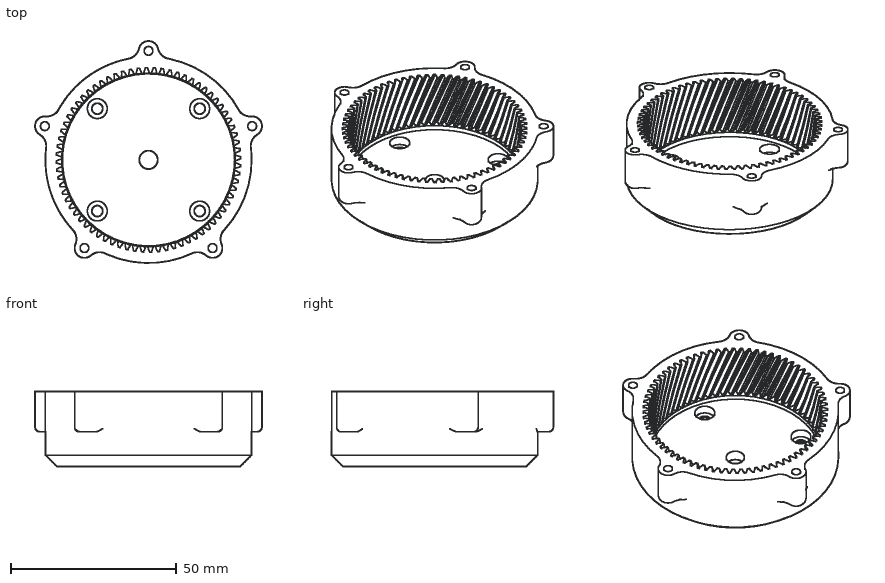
import cadquery as cq
import math

body_radius = 62.5 / 2
body_height = 22.75
bottom_chamfer = 3.5
floor_thickness = 3.5

ear_count = 5
first_ear_angle = 90.0
ear_circle_radius = 33.0
ear_radius = 3.0
ear_height = 12.25
ear_neck_radius = 4.0
ear_bottom_fillet = 1.5
ear_hole_diameter = 2.65
ear_hole_depth = 10.0

module_size = 0.75
tooth_count = 72
pressure_angle = math.radians(20.0)
helix_angle = math.radians(20.0)
addendum = module_size
dedendum = 1.25 * module_size
space_widening = 0.07
gear_bottom = 5.0
pitch_radius = module_size * tooth_count / 2
base_radius = pitch_radius * math.cos(pressure_angle)
tip_radius = pitch_radius - addendum
root_radius = pitch_radius + dedendum
gear_length = body_height - gear_bottom
gear_twist = math.degrees(gear_length * math.tan(helix_angle) / pitch_radius)

clearance_diameter = 52.1

shaft_hole_diameter = 5.5
mount_spacing = 31.0
mount_hole_diameter = 3.25
counterbore_diameter = 6.0
counterbore_depth = 2.75


def polar(radius, angle):
    """Point at the given radius and angle (radians)."""
    return (radius * math.cos(angle), radius * math.sin(angle))


def ear_angles():
    """Direction of each ear, in radians."""
    return [math.radians(first_ear_angle + i * 360 / ear_count) for i in range(ear_count)]


def rim_outline():
    """Five round ears with concave necks tangent to the body, joined by chords inside the body."""
    neck_center_radius = body_radius + ear_neck_radius
    neck_to_ear = ear_radius + ear_neck_radius
    axis_cosine = (neck_center_radius**2 + ear_circle_radius**2 - neck_to_ear**2) / (
        2 * neck_center_radius * ear_circle_radius
    )
    neck_angle = math.acos(axis_cosine)

    def ear_points(angle, side):
        """Start, middle and end of the neck arc on one side (-1 or 1) of an ear."""
        center = polar(ear_circle_radius, angle)
        neck = polar(neck_center_radius, angle + side * neck_angle)
        on_body = polar(body_radius, angle + side * neck_angle)
        share = ear_radius / neck_to_ear
        on_ear = tuple(c + (n - c) * share for c, n in zip(center, neck))
        toward_body = math.atan2(on_body[1] - neck[1], on_body[0] - neck[0])
        toward_ear = math.atan2(on_ear[1] - neck[1], on_ear[0] - neck[0])
        half_sweep = math.remainder(toward_ear - toward_body, 2 * math.pi) / 2
        step = polar(ear_neck_radius, toward_body + half_sweep)
        neck_middle = (neck[0] + step[0], neck[1] + step[1])
        return on_body, neck_middle, on_ear

    outline = cq.Workplane("XY").moveTo(*ear_points(ear_angles()[0], -1)[0])
    for angle in ear_angles():
        _, near_middle, near_ear = ear_points(angle, -1)
        far_body, far_middle, far_ear = ear_points(angle, 1)
        next_body = ear_points(angle + 2 * math.pi / ear_count, -1)[0]
        outline = outline.threePointArc(near_middle, near_ear)
        outline = outline.threePointArc(polar(ear_circle_radius + ear_radius, angle), far_ear)
        outline = outline.threePointArc(far_middle, far_body)
        outline = outline.lineTo(*next_body)
    return outline.close()


def housing_blank():
    """Solid body with a chamfered bottom and ears with rounded undersides."""
    body = cq.Workplane("XY").circle(body_radius).extrude(body_height)
    body = body.faces("<Z").chamfer(bottom_chamfer)
    rim = rim_outline().extrude(ear_height)
    rim = rim.faces("<Z").edges("%CIRCLE").fillet(ear_bottom_fillet)
    return body.union(rim.translate((0, 0, body_height - ear_height)))


def involute(angle):
    """Involute function of a pressure angle."""
    return math.tan(angle) - angle


def space_half_angle(radius):
    """Half the angle spanned by a tooth space at the given radius."""
    at_pitch = math.pi / (2 * tooth_count) + space_widening / (2 * pitch_radius)
    return at_pitch + involute(pressure_angle) - involute(math.acos(base_radius / radius))


def gear_cutter():
    """Twisted solid that leaves the internal teeth behind."""
    pitch = 2 * math.pi / tooth_count
    tip_half = space_half_angle(tip_radius)
    pitch_half = space_half_angle(pitch_radius)
    root_half = space_half_angle(root_radius)
    outline = cq.Workplane("XY").moveTo(*polar(tip_radius, -tip_half))
    for i in range(tooth_count):
        middle = i * pitch
        outline = outline.threePointArc(
            polar(pitch_radius, middle - pitch_half), polar(root_radius, middle - root_half)
        )
        outline = outline.threePointArc(
            polar(root_radius, middle), polar(root_radius, middle + root_half)
        )
        outline = outline.threePointArc(
            polar(pitch_radius, middle + pitch_half), polar(tip_radius, middle + tip_half)
        )
        outline = outline.threePointArc(
            polar(tip_radius, middle + pitch / 2), polar(tip_radius, middle + pitch - tip_half)
        )
    cutter = outline.close().twistExtrude(gear_length, -gear_twist)
    return cutter.translate((0, 0, gear_bottom))


def clearance_bore():
    """Round pocket from the rim down to the floor."""
    depth = body_height - floor_thickness
    bore = cq.Workplane("XY").circle(clearance_diameter / 2).extrude(depth)
    return bore.translate((0, 0, floor_thickness))


def cut_floor_holes(part):
    """Central shaft hole and four counterbored mounting holes."""
    floor = part.copyWorkplane(cq.Workplane("XY", origin=(0, 0, floor_thickness)))
    part = floor.circle(shaft_hole_diameter / 2).cutThruAll()
    mounts = part.copyWorkplane(cq.Workplane("XY", origin=(0, 0, floor_thickness)))
    return mounts.rect(mount_spacing, mount_spacing, forConstruction=True).vertices().cboreHole(
        mount_hole_diameter, counterbore_diameter, counterbore_depth
    )


def cut_ear_holes(part):
    """Blind screw hole in the top of each ear."""
    top = part.copyWorkplane(cq.Workplane("XY", origin=(0, 0, body_height)))
    centers = [polar(ear_circle_radius, angle) for angle in ear_angles()]
    return top.pushPoints(centers).hole(ear_hole_diameter, ear_hole_depth)


housing = housing_blank().cut(clearance_bore()).cut(gear_cutter())
housing = cut_floor_holes(housing)
result = cut_ear_holes(housing)